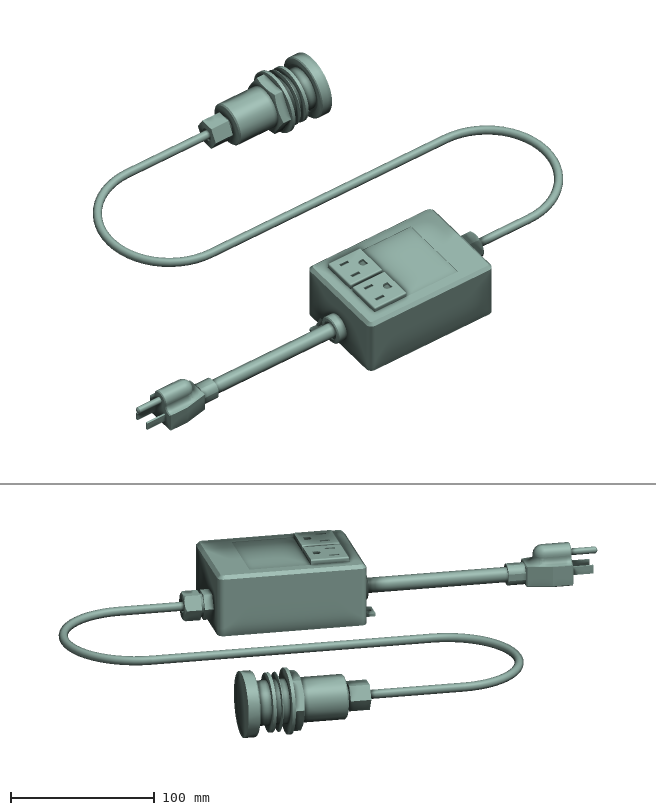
import cadquery as cq
import math


cable_radius = 3.0
bend_radius = 50.0
lower_bend_y = -158.5
upper_bend_y = 42.0
cable_insertion = 4.0
gland_leg_x = 4 * bend_radius

flange_radius = 23.5
flange_thickness = 8.7
flange_chamfer = 0.8
flange_recess_radius = 18.3
flange_recess_depth = 0.5
barrel_radius = 16.0
barrel_end_y = -73.5
barrel_chamfer = 1.0
neck_radius = 6.7
neck_length = 2.5

gland_across_flats = 18.5
gland_recess_radius = 4.8
gland_recess_depth = 1.5
lamp_gland_length = 14.5
box_gland_nut_length = 12.0
box_gland_groove_width = 2.0
box_gland_groove_radius = 8.0
box_gland_chamfer = 1.0
box_gland_end_y = -2.8
lamp_gland_start_y = barrel_end_y - neck_length
lamp_gland_end_y = lamp_gland_start_y - lamp_gland_length

washer_radius = 21.0
gasket_front_y = -18.3
gasket_thickness = 2.5
washer_front_y = -25.0
washer_thickness = 0.5
nut_front_y = -31.5
nut_flange_thickness = 2.5
nut_hex_length = 7.5
nut_across_flats = 37.3
nut_chamfer = 1.0

box_width = 75.5
box_length = 106.5
box_top_z = 29.5
box_bottom_z = -15.0
box_right_x = 250.0
box_back_y = -23.0
box_corner_radius = 4.5
box_top_chamfer = 2.5
box_center_x = box_right_x - box_width / 2
box_front_y = box_back_y - box_length
box_center_y = (box_back_y + box_front_y) / 2

panel_width = 56.5
label_setback = 24.2
label_back_y = box_back_y - label_setback
label_depth = 0.5
outlet_length = 27.5
outlet_height = 3.5
outlet_rounding = 1.0
outlet_gap = 2.0
outlet_setback = 10.7
outlet_front_y = box_front_y + outlet_setback
outlet_back_y = outlet_front_y + outlet_length
outlet_width = (panel_width - outlet_gap) / 2
outlet_pitch = outlet_width + outlet_gap
socket_depth = 2.0
slot_width = 2.5
slot_length = 7.0
slot_offset = 6.7
slot_setback = 18.0
ground_hole_radius = 2.98
ground_hole_flat_height = 2.5
ground_hole_setback = 6.7

tab_width = 15.0
tab_length = 9.5
tab_thickness = 2.0
tab_offset = 14.3
tab_corner_radius = 1.0
tab_hole_radius = 2.0
tab_hole_distance = 6.0
rib_thickness = 2.5
rib_length = 3.5
rib_height = 4.8

cord_diameter = 10.7
bushing_radius = 10.5
bushing_length = 7.0
bushing_recess_radius = 7.0
bushing_recess_depth = 1.0
bushing_chamfer = 0.8
collar_back_y = -237.0
collar_diameter = 15.5
collar_width = 14.5
plug_back_y = -249.0
plug_taper_end_y = -267.5
plug_front_y = -282.0
plug_back_width = 17.5
plug_width = 25.5
plug_height = 15.0
plug_edge_chamfer = 0.8
hump_width = 14.0
hump_radius = hump_width / 2
hump_dome_y = -262.5
hump_fillet = 4.8
ground_pin_z = 13.0
ground_pin_radius = 2.5
ground_pin_end_y = -301.5
ground_pin_chamfer = 1.0
blade_offset = 6.0
blade_thickness = 1.5
blade_height = 6.0
blade_z = 1.0
blade_end_y = -297.5


def rod(radius, start_y, end_y, x=0, z=0):
    """Cylinder along Y from start_y towards -Y to end_y."""
    plane = cq.Workplane("XZ", origin=(x, start_y, z))
    return plane.circle(radius).extrude(start_y - end_y)


def hex_bar(across_flats, start_y, length, x=0):
    """Hexagonal bar along -Y with flats facing +Z and -Z."""
    corner_diameter = across_flats / math.cos(math.pi / 6)
    return cq.Workplane("XZ", origin=(x, start_y, 0)).polygon(6, corner_diameter).extrude(length)


def chamfered_end(shape, across_flats, start_y, end_y, chamfer, end, x=0):
    """Turn a hexagonal bar's corners down to its flats at one end."""
    corner_radius = across_flats / math.cos(math.pi / 6) / 2
    envelope = rod(corner_radius, start_y, end_y, x).faces(end).chamfer(
        chamfer, corner_radius - across_flats / 2
    )
    return shape.intersect(envelope)


def make_ring(front_y, thickness):
    """Flat ring that fits closely around the barrel."""
    back_y = front_y - thickness
    return rod(washer_radius, front_y, back_y).cut(rod(barrel_radius, front_y, back_y))


def make_cable():
    """Round cable in an S of two half turns, running from gland to gland."""
    path = (
        cq.Workplane("XY")
        .moveTo(0, lamp_gland_end_y + cable_insertion)
        .lineTo(0, lower_bend_y)
        .threePointArc((bend_radius, lower_bend_y - bend_radius), (2 * bend_radius, lower_bend_y))
        .lineTo(2 * bend_radius, upper_bend_y)
        .threePointArc((3 * bend_radius, upper_bend_y + bend_radius), (gland_leg_x, upper_bend_y))
        .lineTo(gland_leg_x, box_gland_end_y - cable_insertion)
    )
    start = cq.Workplane("XZ", origin=(0, lamp_gland_end_y + cable_insertion, 0))
    return start.circle(cable_radius).sweep(path)


def make_lamp_housing():
    """Flange, barrel, neck and hexagonal gland in line."""
    body = rod(flange_radius, 0, -flange_thickness).faces("<Y").chamfer(flange_chamfer)
    recess_floor_y = flange_recess_depth - flange_thickness
    body = body.cut(rod(flange_recess_radius, recess_floor_y, -flange_thickness))
    barrel = rod(barrel_radius, recess_floor_y, barrel_end_y)
    body = body.union(barrel.faces("<Y").chamfer(barrel_chamfer))
    body = body.union(rod(neck_radius, barrel_end_y, lamp_gland_start_y))
    body = body.union(hex_bar(gland_across_flats, lamp_gland_start_y, lamp_gland_length))
    gland_floor_y = lamp_gland_end_y + gland_recess_depth
    body = body.cut(rod(gland_recess_radius, gland_floor_y, lamp_gland_end_y))
    return body.cut(cable)


def make_flange_nut():
    """Hexagonal nut with a round flange, bored to the barrel."""
    hex_front_y = nut_front_y - nut_flange_thickness
    hex_end_y = hex_front_y - nut_hex_length
    nut = hex_bar(nut_across_flats, hex_front_y, nut_hex_length)
    nut = chamfered_end(nut, nut_across_flats, hex_front_y, hex_end_y, nut_chamfer, "<Y")
    nut = nut.union(rod(flange_radius, nut_front_y, hex_front_y))
    return nut.cut(rod(barrel_radius, nut_front_y, hex_end_y))


def make_box_gland():
    """Hexagonal cap and base with a round groove between them."""
    nut_start_y = box_gland_end_y - box_gland_nut_length
    base_start_y = nut_start_y - box_gland_groove_width
    cap = hex_bar(gland_across_flats, box_gland_end_y, box_gland_nut_length, gland_leg_x)
    cap = chamfered_end(
        cap, gland_across_flats, box_gland_end_y, nut_start_y, box_gland_chamfer, ">Y", gland_leg_x
    )
    base = hex_bar(gland_across_flats, base_start_y, base_start_y - box_back_y, gland_leg_x)
    gland = cap.union(base).union(
        rod(box_gland_groove_radius, nut_start_y, base_start_y, gland_leg_x)
    )
    recess_y = box_gland_end_y - gland_recess_depth
    gland = gland.cut(rod(gland_recess_radius, box_gland_end_y, recess_y, gland_leg_x))
    return gland.cut(cable)


def make_outlet(center_x):
    """Outlet block rounded on all but its back edges, with two slots and a ground hole."""
    block_center_y = (outlet_back_y + outlet_front_y) / 2
    block = (
        cq.Workplane("XY", origin=(center_x, block_center_y, box_top_z - label_depth))
        .rect(outlet_width, outlet_length)
        .extrude(outlet_height + label_depth)
    )
    rounded_edges = block.edges("|Z and <Y").add(block.edges(">Z and (not >Y)"))
    block = block.newObject(rounded_edges.vals()).fillet(outlet_rounding)
    top = cq.Workplane("XY", origin=(center_x, outlet_back_y, box_top_z + outlet_height))
    slots = (
        top.pushPoints([(-slot_offset, -slot_setback), (slot_offset, -slot_setback)])
        .rect(slot_width, slot_length)
        .extrude(-socket_depth)
    )
    ground_hole = (
        top.center(0, -ground_hole_setback)
        .moveTo(-ground_hole_radius, 0)
        .lineTo(-ground_hole_radius, ground_hole_flat_height)
        .lineTo(ground_hole_radius, ground_hole_flat_height)
        .lineTo(ground_hole_radius, 0)
        .threePointArc((0, -ground_hole_radius), (-ground_hole_radius, 0))
        .close()
        .extrude(-socket_depth)
    )
    return block.cut(slots).cut(ground_hole)


def make_tab():
    """Tab that leaves a wall at Y = 0 towards +Y, with a hole and two side ribs."""
    tab = (
        cq.Workplane("XY")
        .rect(tab_width, 2 * tab_length)
        .extrude(tab_thickness)
        .edges("|Z")
        .fillet(tab_corner_radius)
    )
    wall_side = (tab_width, tab_length, tab_thickness, (True, False, False))
    tab = tab.intersect(cq.Workplane("XY").box(*wall_side))
    hole = cq.Workplane("XY").center(0, tab_hole_distance).circle(tab_hole_radius)
    tab = tab.cut(hole.extrude(tab_thickness))
    for rib_x in (-tab_width / 2, tab_width / 2 - rib_thickness):
        rib = (
            cq.Workplane("YZ", origin=(rib_x, 0, tab_thickness))
            .polyline([(0, 0), (rib_length, 0), (0, rib_height)])
            .close()
            .extrude(rib_thickness)
        )
        tab = tab.union(rib)
    return tab


def make_enclosure():
    """Box with a label recess, two outlets on the lid and two mounting tabs."""
    box = (
        cq.Workplane("XY", origin=(box_center_x, box_center_y, box_bottom_z))
        .rect(box_width, box_length)
        .extrude(box_top_z - box_bottom_z)
        .edges("|Z")
        .fillet(box_corner_radius)
        .faces(">Z")
        .chamfer(box_top_chamfer)
    )
    label_center_y = (label_back_y + outlet_front_y) / 2
    label = (
        cq.Workplane("XY", origin=(box_center_x, label_center_y, box_top_z))
        .rect(panel_width, label_back_y - outlet_front_y)
        .extrude(-label_depth)
    )
    box = box.cut(label)
    for side in (-1, 1):
        box = box.union(make_outlet(box_center_x + side * outlet_pitch / 2))
    back_tab = make_tab().translate((box_center_x + tab_offset, box_back_y, box_bottom_z))
    front_tab = make_tab().rotate((0, 0, 0), (0, 0, 1), 180)
    front_tab = front_tab.translate((box_center_x - tab_offset, box_front_y, box_bottom_z))
    return box.union(back_tab).union(front_tab)


def make_plug_block():
    """Block that tapers towards the collar and has chamfered bottom and back edges."""
    back = plug_back_width / 2
    side = plug_width / 2
    outline = [
        (-back, plug_back_y),
        (back, plug_back_y),
        (side, plug_taper_end_y),
        (side, plug_front_y),
        (-side, plug_front_y),
        (-side, plug_taper_end_y),
    ]
    block = cq.Workplane("XY", origin=(box_center_x, 0, -plug_height / 2))
    block = block.polyline(outline).close().extrude(plug_height)
    return block.faces("<Z or >Y").chamfer(plug_edge_chamfer)


def make_hump_pedestal():
    """Straight wall under the ground hump, round at its back end."""
    return (
        cq.Workplane("XY", origin=(box_center_x, 0, 0))
        .moveTo(-hump_radius, plug_front_y)
        .lineTo(-hump_radius, hump_dome_y)
        .threePointArc((0, hump_dome_y + hump_radius), (hump_radius, hump_dome_y))
        .lineTo(hump_radius, plug_front_y)
        .close()
        .extrude(ground_pin_z)
    )


def make_hump():
    """Horizontal cylinder around the ground pin axis with a spherical back end."""
    dome = cq.Workplane("XY", origin=(box_center_x, hump_dome_y, ground_pin_z)).sphere(hump_radius)
    return rod(hump_radius, hump_dome_y, plug_front_y, box_center_x, ground_pin_z).union(dome)


def make_plug():
    """Plug block with a domed ground hump, two blades and a ground pin."""
    plug = make_plug_block().union(make_hump_pedestal())
    selection_margin = 0.5
    foot_reach = hump_radius + selection_margin
    foot_z = plug_height / 2
    foot = cq.selectors.BoxSelector(
        (box_center_x - foot_reach, plug_front_y - selection_margin, foot_z - selection_margin),
        (box_center_x + foot_reach, hump_dome_y + foot_reach, foot_z + selection_margin),
        boundingbox=True,
    )
    plug = plug.edges(foot).fillet(hump_fillet)
    plug = plug.union(make_hump()).faces("<Y").chamfer(plug_edge_chamfer)
    blade_length = plug_front_y - blade_end_y
    for blade_x in (box_center_x - blade_offset, box_center_x + blade_offset):
        blade = cq.Workplane("XZ", origin=(blade_x, plug_front_y, blade_z))
        plug = plug.union(blade.rect(blade_thickness, blade_height).extrude(blade_length))
    pin = rod(ground_pin_radius, plug_front_y, ground_pin_end_y, box_center_x, ground_pin_z)
    return plug.union(pin.faces("<Y").chamfer(ground_pin_chamfer))


def make_power_cord():
    """Wall bushing, cord, flattened collar and plug moulded as one."""
    bushing_end_y = box_front_y - bushing_length
    bushing = rod(bushing_radius, box_front_y, bushing_end_y, box_center_x)
    bushing = bushing.faces("<Y").chamfer(bushing_chamfer)
    recess_y = bushing_end_y + bushing_recess_depth
    bushing = bushing.cut(rod(bushing_recess_radius, recess_y, bushing_end_y, box_center_x))
    cord = rod(cord_diameter / 2, box_front_y, collar_back_y, box_center_x)
    collar = rod(collar_diameter / 2, collar_back_y, plug_back_y, box_center_x)
    flats = cq.Workplane("XZ", origin=(box_center_x, collar_back_y, 0))
    collar_length = collar_back_y - plug_back_y
    collar = collar.intersect(flats.rect(collar_width, collar_width).extrude(collar_length))
    return bushing.union(cord).union(collar).union(make_plug())


cable = make_cable()
lamp_housing = make_lamp_housing()
gasket = make_ring(gasket_front_y, gasket_thickness)
washer = make_ring(washer_front_y, washer_thickness)
flange_nut = make_flange_nut()
box_gland = make_box_gland()
enclosure = make_enclosure()
power_cord = make_power_cord()

result = cq.Compound.makeCompound(
    [
        lamp_housing.val(),
        gasket.val(),
        washer.val(),
        flange_nut.val(),
        cable.val(),
        box_gland.val(),
        enclosure.val(),
        power_cord.val(),
    ]
)